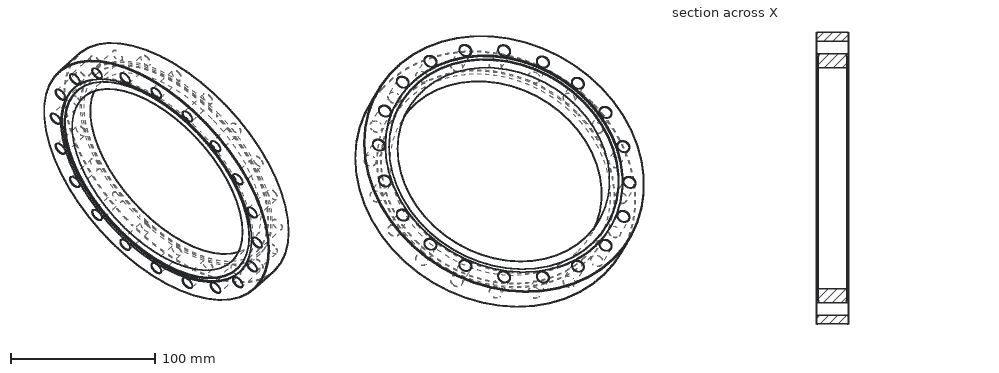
import cadquery as cq

outer_diameter = 202.4
bore_diameter = 153.0
thickness = 22.2
rim_chamfer = 0.5

recess_diameter = 171.4
knife_tip_diameter = 166.0
knife_foot_diameter = 165.4
knife_tip_depth = 0.6
groove_depth = 1.6
inner_land_depth = 1.2

bolt_count = 20
bolt_circle_diameter = 181.0
bolt_hole_diameter = 8.4
bolt_hole_chamfer = 0.3

half_thickness = thickness / 2
axis_start = (0, 0, 0)
axis_end = (0, 1, 0)


def revolve_symmetric(front_points):
    """Revolve a section about the Y axis.

    front_points are (radius, y) corners of the front (-Y) half, from the
    inside outwards; the back half is their mirror image.
    """
    back_points = [(radius, -y) for radius, y in reversed(front_points)]
    section = cq.Workplane("XY").polyline(front_points + back_points).close()
    return section.revolve(360, axis_start, axis_end)


def flange_body():
    """Ring with chamfered rims and a knife-edge seal in each face."""
    face_y = -half_thickness
    outer_radius = outer_diameter / 2
    bore_radius = bore_diameter / 2
    recess_radius = recess_diameter / 2
    land_y = face_y + inner_land_depth
    return revolve_symmetric([
        (bore_radius, land_y),
        (knife_foot_diameter / 2, land_y),
        (knife_tip_diameter / 2, face_y + knife_tip_depth),
        (recess_radius, face_y + groove_depth),
        (recess_radius, face_y),
        (outer_radius - rim_chamfer, face_y),
        (outer_radius, face_y + rim_chamfer),
    ])


def bolt_hole_cutter():
    """Through hole on the Y axis, chamfered at both faces."""
    hole_radius = bolt_hole_diameter / 2
    return revolve_symmetric([
        (0, -half_thickness),
        (hole_radius + bolt_hole_chamfer, -half_thickness),
        (hole_radius, -half_thickness + bolt_hole_chamfer),
    ])


def cut_bolt_holes(body):
    """Cut the evenly spaced bolt holes, the first one on the X axis."""
    first_hole = bolt_hole_cutter().translate((bolt_circle_diameter / 2, 0, 0))
    for index in range(bolt_count):
        angle = index * 360 / bolt_count
        body = body.cut(first_hole.rotate(axis_start, axis_end, angle))
    return body


result = cut_bolt_holes(flange_body())